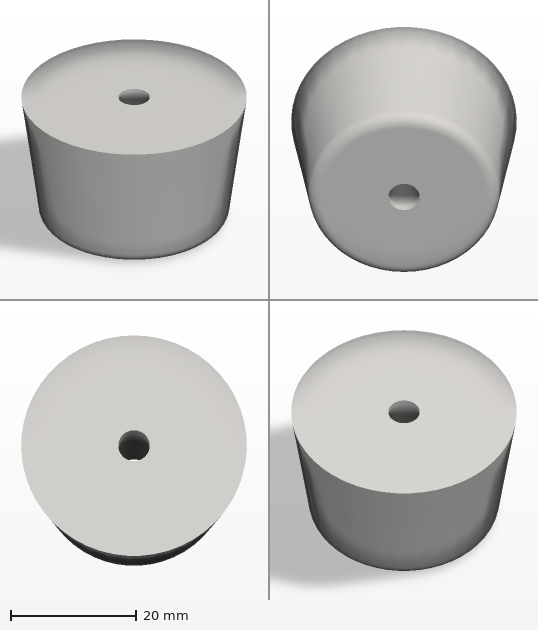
import cadquery as cq

top_diameter = 36.0
base_diameter = 30.0
height = 22.0
bore_diameter = 5.0
base_edge_radius = 2.0


def make_tapered_foot():
    """Round foot, wide at the top, with a rounded lower edge and a through bore."""
    profile = [
        (0, 0),
        (base_diameter / 2, 0),
        (top_diameter / 2, height),
        (0, height),
    ]
    cone = (
        cq.Workplane("XZ")
        .polyline(profile)
        .close()
        .revolve(360, (0, 0, 0), (0, 1, 0))
    )
    rounded = cone.faces("<Z").edges().fillet(base_edge_radius)
    return rounded.faces(">Z").workplane(origin=(0, 0, height)).hole(bore_diameter)


foot = make_tapered_foot()

result = cq.Compound.makeCompound([foot.val()])